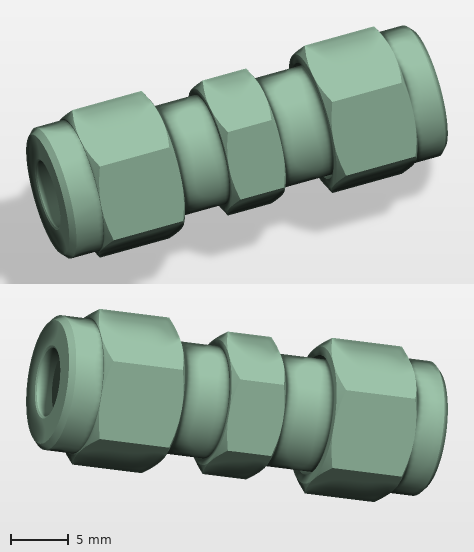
import cadquery as cq
import math

total_length = 35.0
collar_length = 3.0
nut_length = 7.5
center_hex_length = 5.0

nut_flats = 12.0
center_hex_flats = 11.0
collar_diameter = 11.8
body_diameter = 9.85
collar_chamfer = 0.5

socket_diameter = 6.05
socket_mouth_flare = 0.18
socket_mouth_chamfer_depth = 0.1
socket_depth = 1.5

nut_clearance = 0.3
nut_clearance_depth = 1.75

corner_break_angle = 30.0

half_length = total_length / 2
nut_outer_y = half_length - collar_length
nut_inner_y = nut_outer_y - nut_length


def cylinder_along_y(diameter, length):
    """Cylinder on the Y axis, centred on the origin."""
    return cq.Workplane("XZ", origin=(0, length / 2, 0)).circle(diameter / 2).extrude(length)


def hexagon_along_y(flats, length):
    """Hexagonal prism centred on the origin, corners on +X/-X, with both ends coned."""
    corner_radius = flats / math.sqrt(3)
    flat_radius = flats / 2
    break_length = (corner_radius - flat_radius) * math.tan(math.radians(corner_break_angle))
    half = length / 2
    prism = cq.Workplane("XZ", origin=(0, half, 0)).polygon(6, 2 * corner_radius).extrude(length)
    envelope = (
        cq.Workplane("XY")
        .polyline([
            (0, -half),
            (flat_radius, -half),
            (corner_radius, -half + break_length),
            (corner_radius, half - break_length),
            (flat_radius, half),
            (0, half),
        ])
        .close()
        .revolve(360, (0, 0, 0), (0, 1, 0))
    )
    return prism.intersect(envelope)


def end_socket():
    """Cutter for the socket in the +Y end."""
    floor_y = half_length - socket_depth
    socket_radius = socket_diameter / 2
    return (
        cq.Workplane("XY")
        .polyline([
            (0, floor_y),
            (socket_radius, floor_y),
            (socket_radius, half_length - socket_mouth_chamfer_depth),
            (socket_radius + socket_mouth_flare, half_length),
            (0, half_length),
        ])
        .close()
        .revolve(360, (0, 0, 0), (0, 1, 0))
    )


def clearance_ring():
    """Annular cutter around the body at the inner end of the +Y nut."""
    ring = cylinder_along_y(body_diameter + 2 * nut_clearance, nut_clearance_depth)
    ring = ring.cut(cylinder_along_y(body_diameter, nut_clearance_depth))
    return ring.translate((0, nut_inner_y + nut_clearance_depth / 2, 0))


body = cylinder_along_y(body_diameter, 2 * nut_outer_y)
center_hex = hexagon_along_y(center_hex_flats, center_hex_length)
nut = hexagon_along_y(nut_flats, nut_length).translate((0, (nut_outer_y + nut_inner_y) / 2, 0))
collar = (
    cylinder_along_y(collar_diameter, collar_length)
    .faces(">Y")
    .chamfer(collar_chamfer)
    .translate((0, half_length - collar_length / 2, 0))
)
end_fitting = nut.union(collar).cut(clearance_ring())
socket = end_socket()

result = (
    body.union(center_hex)
    .union(end_fitting)
    .union(end_fitting.mirror("XZ"))
    .cut(socket)
    .cut(socket.mirror("XZ"))
)